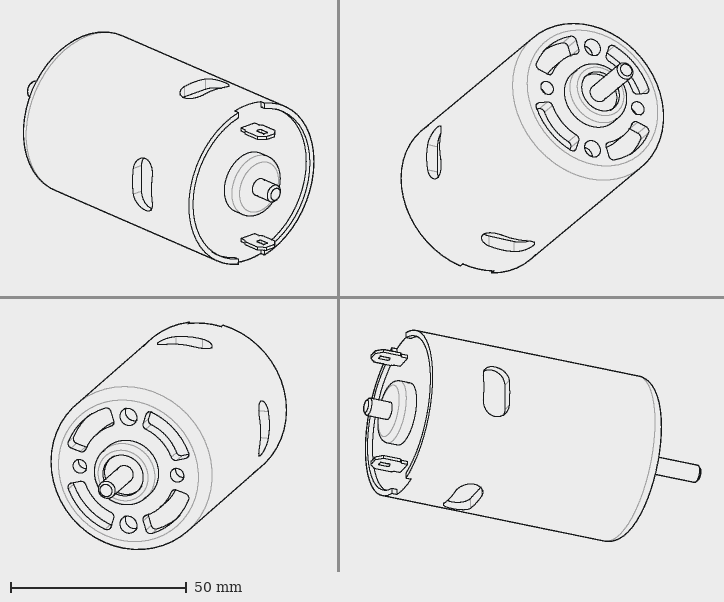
import cadquery as cq
import math


shaft_length = 103.0
shaft_diameter = 5.0
shaft_chamfer = 0.7

can_diameter = 48.0
can_front = 20.8
can_rear = 92.8
can_front_fillet = 3.1

rim_inner_diameter = 44.8
rim_depth = 1.5
rim_notch_width = 10.0
rear_plate = can_rear - rim_depth

boss_diameter = 18.0
boss_fillet = 1.5
front_boss_length = 4.9
rear_boss_length = 3.2
bearing_recess_diameter = 12.0
bearing_recess_depth = 1.5

window_count = 4
window_center = 72.9
window_width = 8.0
window_length = 16.0
window_floor_radius = 20.5

front_pocket_depth = 4.9
vent_count = 4
vent_inner_radius = 13.8
vent_outer_radius = 19.3
vent_span = 56.0
vent_corner_radius = 1.3
large_hole_diameter = 5.0
large_hole_offset = 16.0
small_hole_diameter = 4.0
small_hole_offset = 14.5

terminal_offset = 17.1
terminal_thickness = 0.9
terminal_root_width = 5.4
terminal_width = 6.6
terminal_shoulder = 93.1
terminal_end = 100.8
terminal_tip_chamfer = 1.8
eyelet_start = 95.7
eyelet_end = 98.8
eyelet_width = 1.5
eyelet_corner_radius = 0.5


def cylinder_along_x(start, end, diameter):
    return cq.Workplane("YZ", origin=(start, 0, 0)).circle(diameter / 2).extrude(end - start)


def make_can():
    can = cylinder_along_x(can_front, can_rear, can_diameter).faces("<X").edges().fillet(can_front_fillet)
    rim_opening = cylinder_along_x(rear_plate, can_rear, rim_inner_diameter)
    rim_notches = cq.Workplane("XY").box(rim_depth, rim_notch_width, can_diameter)
    rim_notches = rim_notches.translate((can_rear - rim_depth / 2, 0, 0))
    return can.cut(rim_opening).cut(rim_notches)


def make_windows():
    window = (
        cq.Workplane("XY", origin=(window_center, 0, window_floor_radius))
        .slot2D(window_length, window_width, 90)
        .extrude(can_diameter / 2 - window_floor_radius)
    )
    windows = cq.Workplane("XY")
    for i in range(window_count):
        windows = windows.add(window.rotate((0, 0, 0), (1, 0, 0), i * 360 / window_count))
    return windows.combine()


def make_bosses():
    front = cylinder_along_x(can_front - front_boss_length, can_front, boss_diameter)
    front = front.faces("<X").edges().fillet(boss_fillet)
    rear = cylinder_along_x(rear_plate, can_rear + rear_boss_length, boss_diameter)
    rear = rear.faces(">X").edges().fillet(boss_fillet)
    return front.union(rear)


def make_bearing_recess():
    start = can_front - front_boss_length
    return cylinder_along_x(start, start + bearing_recess_depth, bearing_recess_diameter)


def make_vent(middle_angle):
    def at(radius, turn):
        angle = math.radians(middle_angle + turn)
        return radius * math.cos(angle), radius * math.sin(angle)

    half = vent_span / 2
    return (
        cq.Workplane("YZ", origin=(can_front, 0, 0))
        .moveTo(*at(vent_inner_radius, -half))
        .lineTo(*at(vent_outer_radius, -half))
        .threePointArc(at(vent_outer_radius, 0), at(vent_outer_radius, half))
        .lineTo(*at(vent_inner_radius, half))
        .threePointArc(at(vent_inner_radius, 0), at(vent_inner_radius, -half))
        .close()
        .extrude(front_pocket_depth)
        .edges("|X")
        .fillet(vent_corner_radius)
    )


def make_front_pockets():
    face = cq.Workplane("YZ", origin=(can_front, 0, 0))
    pockets = (
        face.pushPoints([(0, -large_hole_offset), (0, large_hole_offset)])
        .circle(large_hole_diameter / 2)
        .extrude(front_pocket_depth)
    )
    pockets = pockets.union(
        face.pushPoints([(-small_hole_offset, 0), (small_hole_offset, 0)])
        .circle(small_hole_diameter / 2)
        .extrude(front_pocket_depth)
    )
    for i in range(vent_count):
        pockets = pockets.union(make_vent((i + 0.5) * 360 / vent_count))
    return pockets


def make_terminal(height):
    root = terminal_root_width / 2
    side = terminal_width / 2
    shoulder_end = terminal_shoulder + side - root
    plate = (
        cq.Workplane("XY", origin=(0, 0, height - terminal_thickness / 2))
        .polyline(
            [
                (rear_plate, -root),
                (terminal_shoulder, -root),
                (shoulder_end, -side),
                (terminal_end, -side),
                (terminal_end, side),
                (shoulder_end, side),
                (terminal_shoulder, root),
                (rear_plate, root),
            ]
        )
        .close()
        .extrude(terminal_thickness)
        .edges("|Z and >X")
        .chamfer(terminal_tip_chamfer)
    )
    eyelet = (
        cq.Workplane("XY", origin=((eyelet_start + eyelet_end) / 2, 0, height))
        .rect(eyelet_end - eyelet_start, eyelet_width)
        .extrude(terminal_thickness / 2, both=True)
        .edges("|Z and <X")
        .fillet(eyelet_corner_radius)
    )
    return plate.cut(eyelet)


shaft = cylinder_along_x(0, shaft_length, shaft_diameter).faces("<X or >X").edges().chamfer(shaft_chamfer)

result = make_can().cut(make_windows()).cut(make_front_pockets())
result = result.union(make_bosses()).cut(make_bearing_recess()).union(shaft)
for side in (1, -1):
    result = result.union(make_terminal(side * terminal_offset))